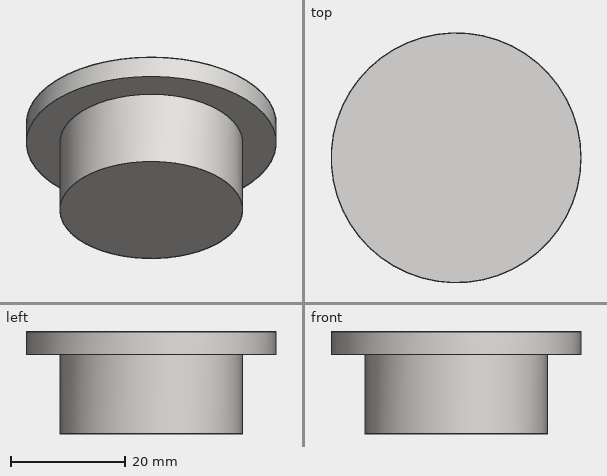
import cadquery as cq

total_height = 17.88
cap_diameter = 43.75
cap_thickness = 4.0
stem_diameter = 32.0
stem_height = total_height - cap_thickness


def make_stem():
    """Round plug standing on the XY plane, below the cap."""
    return cq.Workplane("XY").circle(stem_diameter / 2).extrude(stem_height)


def make_cap():
    """Flat round disc resting on the top face of the stem."""
    return (
        cq.Workplane("XY")
        .workplane(offset=stem_height)
        .circle(cap_diameter / 2)
        .extrude(cap_thickness)
    )


stem = make_stem()
cap = make_cap()

result = cq.Compound.makeCompound([stem.val(), cap.val()])